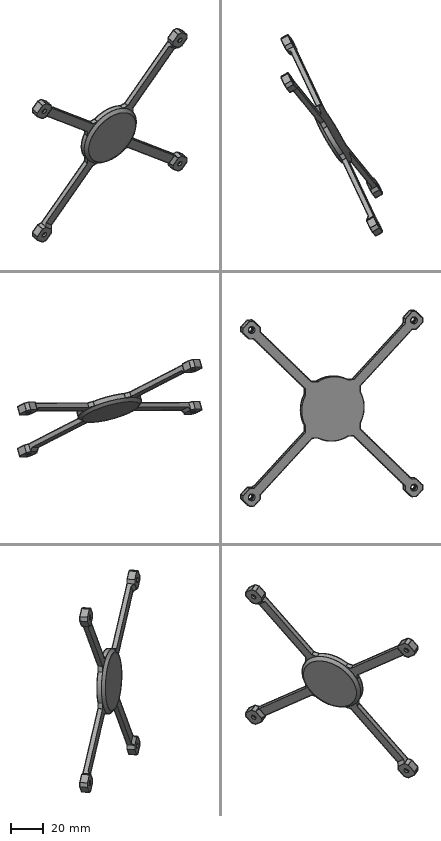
import cadquery as cq
import math

span = 115.3
total_thickness = 5.0
plate_thickness = 3.0
disc_radius = 20.1
hub_side = 35.0
pad_side = 11.1
pad_corner_cut = 4.2
hole_diameter = 3.1
counterbore_diameter = 4.2
counterbore_depth = plate_thickness

raised_height = total_thickness - plate_thickness
pad_offset = (span - pad_side) / 2
pad_radial_offset = pad_offset * math.sqrt(2)
arm_width = pad_corner_cut * math.sqrt(2)
pad_inner_reach = (pad_side - pad_corner_cut) / math.sqrt(2)
ramp_start = pad_radial_offset - pad_inner_reach
ramp_end = ramp_start - raised_height
back_face = -total_thickness / 2
plate_face = back_face + plate_thickness
front_face = total_thickness / 2
arm_angles = [45, 135, 225, 315]


def make_hub():
    """Square plate merged with a disc, topped by a 45 degree conical boss."""
    plane = cq.Workplane("YZ", origin=(back_face, 0, 0))
    square = plane.rect(hub_side, hub_side).extrude(plate_thickness)
    disc = plane.circle(disc_radius).extrude(total_thickness)
    boss = disc.faces(">X").chamfer(raised_height)
    return square.union(boss)


def make_arm():
    """Arm along +Y whose face ramps up to the full thickness of the pad."""
    return (
        cq.Workplane("XY", origin=(0, 0, -arm_width / 2))
        .moveTo(back_face, 0)
        .lineTo(plate_face, 0)
        .lineTo(plate_face, ramp_end)
        .lineTo(front_face, ramp_start)
        .lineTo(front_face, pad_radial_offset)
        .lineTo(back_face, pad_radial_offset)
        .close()
        .extrude(arm_width)
    )


def make_pad():
    """Square pad with cut corners, squared to the Y and Z axes."""
    return (
        cq.Workplane("YZ", origin=(back_face, pad_offset, pad_offset))
        .rect(pad_side, pad_side)
        .extrude(total_thickness)
        .edges("|X")
        .chamfer(pad_corner_cut)
    )


def make_hole():
    """Cutter for the through hole in a pad, counterbored from the flat back."""
    plane = cq.Workplane("YZ", origin=(back_face, pad_offset, pad_offset))
    through = plane.circle(hole_diameter / 2).extrude(total_thickness)
    counterbore = plane.circle(counterbore_diameter / 2).extrude(counterbore_depth)
    return through.union(counterbore)


def turned(shape, angle):
    return shape.rotate((0, 0, 0), (1, 0, 0), angle)


result = make_hub()
for arm_angle in arm_angles:
    pad_angle = arm_angle - arm_angles[0]
    result = result.union(turned(make_arm(), arm_angle))
    result = result.union(turned(make_pad(), pad_angle))
    result = result.cut(turned(make_hole(), pad_angle))